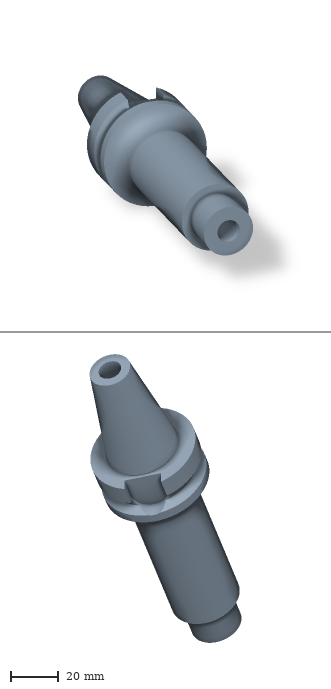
import cadquery as cq
import math

length = 159.1
taper_end = 48.4
flange_start = 49.3
groove_start = 58.1
groove_floor_start = 60.0
groove_floor_end = 63.8
groove_end = 65.9
flange_end = 70.2
nose_length = 16.2

flange_radius = 23.0
taper_small_radius = 8.9
taper_large_radius = 15.9
neck_radius = 15.3
groove_radius = 19.1
body_radius = 15.0
nose_radius = 11.0
bore_radius = 5.0
shoulder_arc_radius = 10.0

slot_width = 15.9
slot_tip = 66.4
slot_floor_height = 16.5

shoulder_rise = flange_radius - body_radius
arc_center_height = body_radius + shoulder_arc_radius
shoulder_length = math.sqrt(shoulder_arc_radius**2 - (shoulder_arc_radius - shoulder_rise) ** 2)
shoulder_end = flange_end + shoulder_length
start_angle = math.asin((shoulder_arc_radius - shoulder_rise) / shoulder_arc_radius)
mid_angle = (start_angle + math.pi / 2) / 2
shoulder_mid = (
    shoulder_end - shoulder_arc_radius * math.cos(mid_angle),
    arc_center_height - shoulder_arc_radius * math.sin(mid_angle),
)
nose_start = length - nose_length


def make_turned_body():
    """Revolved taper, grooved flange, shoulder, body and nose with a through bore."""
    return (
        cq.Workplane("XY")
        .moveTo(0, bore_radius)
        .lineTo(0, taper_small_radius)
        .lineTo(taper_end, taper_large_radius)
        .lineTo(taper_end, neck_radius)
        .lineTo(flange_start, neck_radius)
        .lineTo(flange_start, flange_radius)
        .lineTo(groove_start, flange_radius)
        .lineTo(groove_floor_start, groove_radius)
        .lineTo(groove_floor_end, groove_radius)
        .lineTo(groove_end, flange_radius)
        .lineTo(flange_end, flange_radius)
        .threePointArc(shoulder_mid, (shoulder_end, body_radius))
        .lineTo(nose_start, body_radius)
        .lineTo(nose_start, nose_radius)
        .lineTo(length, nose_radius)
        .lineTo(length, bore_radius)
        .close()
        .revolve(360, (0, 0, 0), (1, 0, 0))
    )


def make_slot_cutter():
    """Round-ended cutter for the drive slot on the +Z side."""
    half_width = slot_width / 2
    straight_end = slot_tip - half_width
    return (
        cq.Workplane("XY")
        .workplane(offset=slot_floor_height)
        .moveTo(flange_start, -half_width)
        .lineTo(straight_end, -half_width)
        .threePointArc((slot_tip, 0), (straight_end, half_width))
        .lineTo(flange_start, half_width)
        .close()
        .extrude(flange_radius)
    )


result = make_turned_body()
slot_cutter = make_slot_cutter()
for side_angle in (0, 180):
    result = result.cut(slot_cutter.rotate((0, 0, 0), (1, 0, 0), side_angle))